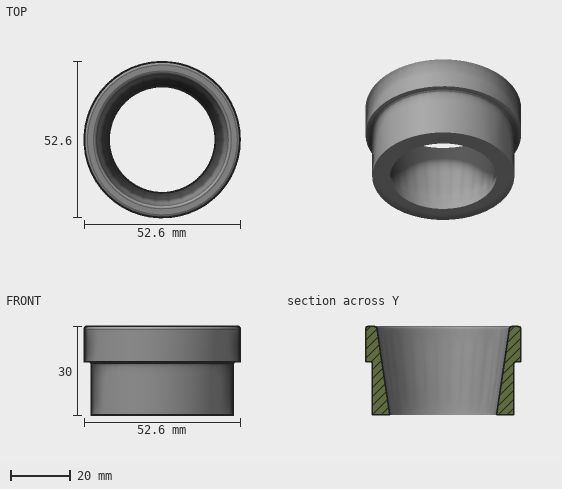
import cadquery as cq

head_radius = 26.3
total_height = 30.0
head_height = 12.0
body_radius = 24.0

bore_bottom_radius = 17.95
mouth_radius = 22.25

rim_round = 1.0
neck_chamfer = 0.45

shoulder_height = total_height - head_height
rim_start = total_height - rim_round
diagonal = 0.5 ** 0.5


def round_midpoint(center_radius, side):
    """Middle point of a quarter round; side is +1 outward, -1 toward the bore."""
    return (center_radius + side * rim_round * diagonal, rim_start + rim_round * diagonal)


outer_center = head_radius - rim_round
inner_center = mouth_radius + rim_round

profile = (
    cq.Workplane("XZ")
    .moveTo(bore_bottom_radius, 0)
    .lineTo(body_radius, 0)
    .lineTo(body_radius, shoulder_height - neck_chamfer)
    .lineTo(body_radius + neck_chamfer, shoulder_height)
    .lineTo(head_radius, shoulder_height)
    .lineTo(head_radius, rim_start)
    .threePointArc(round_midpoint(outer_center, 1), (outer_center, total_height))
    .lineTo(inner_center, total_height)
    .threePointArc(round_midpoint(inner_center, -1), (mouth_radius, rim_start))
    .lineTo(bore_bottom_radius, 0)
    .close()
)

result = profile.revolve(360, (0, 0, 0), (0, 1, 0))